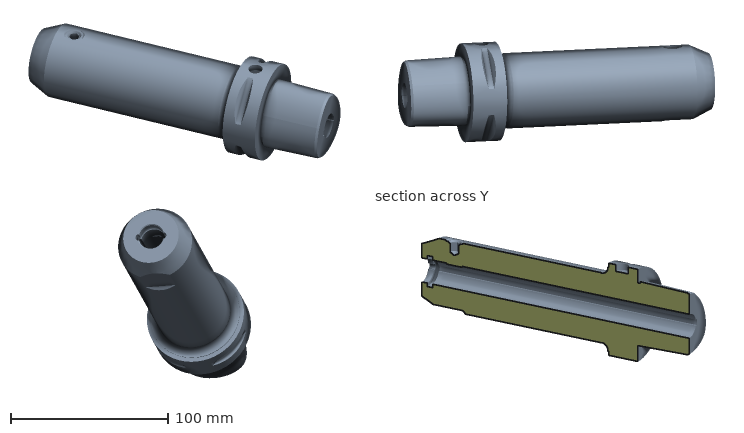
import cadquery as cq
import math


nose_length = 160.0
body_diameter = 48.0
front_face_diameter = 36.0
nose_cone_angle = 25.0
flange_diameter = 63.0
flange_width = 22.0
collar_diameter = 57.6
collar_width = 0.5
neck_diameter = 47.6
neck_step_length = 1.0
fillet_radius = 4.5

flat_height = 22.0
flat_length = 30.5

shank_length = 38.0
polygon_diameter = 44.0
polygon_lobe = 1.4
polygon_straight_length = 2.9
taper_ratio = 20.0
shank_chamfer_length = 1.5
shank_chamfer_depth = 0.8
relief_diameter = 44.6
relief_width = 1.5
lobe_count = 3
lobe_samples = 24

groove_position = -12.0
slot_count = 4
slot_floor_distance = 27.5
slot_floor_width = 3.5
slot_flank_angle = 30.0
marker_hole_diameter = 9.0
marker_hole_depth = 4.5

bore_diameter = 16.0
bore_chamfer = 0.6
coolant_slot_diameter = 18.38
coolant_slot_width = 4.0
entry_slot_span = 20.0
ring_groove_diameter = 20.8
ring_groove_start = 4.5
ring_groove_width = 3.5

screw_distance = 24.2
screw_diameter = 11.84
screw_head_height = 23.3
socket_mouth_diameter = 9.0
screw_tip_height = 7.3
screw_hole_mouth_diameter = 13.2
hex_across_flats = 6.0
hex_sides = 6
hex_depth = 6.0
hex_drill_point_depth = 1.7

nose_x = -nose_length
overall_length = nose_length + shank_length


def x_cylinder(start, length, diameter):
    """Cylinder on the X axis, running from start toward +X."""
    return cq.Workplane("YZ", origin=(start, 0, 0)).circle(diameter / 2).extrude(length)


def make_body():
    """Nose, neck and flange as one revolved profile."""
    body_radius = body_diameter / 2
    front_radius = front_face_diameter / 2
    neck_radius = neck_diameter / 2
    collar_radius = collar_diameter / 2
    flange_radius = flange_diameter / 2
    cone_end = nose_x + (body_radius - front_radius) / math.tan(math.radians(nose_cone_angle))
    flange_start = -flange_width
    collar_start = flange_start - collar_width
    fillet_start = collar_start - fillet_radius
    arc_offset = fillet_radius * math.sqrt(0.5)
    arc_middle = (fillet_start + arc_offset, neck_radius + fillet_radius - arc_offset)
    return (
        cq.Workplane("XY")
        .moveTo(nose_x, 0)
        .lineTo(nose_x, front_radius)
        .lineTo(cone_end, body_radius)
        .lineTo(fillet_start - neck_step_length, body_radius)
        .lineTo(fillet_start, neck_radius)
        .threePointArc(arc_middle, (collar_start, neck_radius + fillet_radius))
        .lineTo(collar_start, collar_radius)
        .lineTo(flange_start, collar_radius)
        .lineTo(flange_start, flange_radius)
        .lineTo(0, flange_radius)
        .lineTo(0, 0)
        .close()
        .revolve(360, (0, 0, 0), (1, 0, 0))
    )


def polygon_wire(x, radius):
    """Constant-width three-lobed outline at position x, with one lobe toward +Z."""
    span = 2 * math.pi / lobe_count

    def point(angle):
        phase = lobe_count * (angle - math.pi / 2)
        support = radius + polygon_lobe * math.cos(phase)
        slope = -lobe_count * polygon_lobe * math.sin(phase)
        y = support * math.cos(angle) - slope * math.sin(angle)
        z = support * math.sin(angle) + slope * math.cos(angle)
        return cq.Vector(x, y, z)

    def tangent(angle):
        return cq.Vector(0, -math.sin(angle), math.cos(angle))

    def lobe(index):
        start = math.pi / 2 + (index - 0.5) * span
        points = [point(start + span * i / lobe_samples) for i in range(lobe_samples + 1)]
        return cq.Edge.makeSpline(points, tangents=[tangent(start), tangent(start + span)])

    return cq.Wire.assembleEdges([lobe(i) for i in range(lobe_count)])


def polygon_section(start, end, start_radius, end_radius):
    """Polygon prism or taper between two X positions."""
    wires = [polygon_wire(start, start_radius), polygon_wire(end, end_radius)]
    return cq.Workplane(obj=cq.Solid.makeLoft(wires, True))


def make_shank():
    """Polygon taper with a turned relief at the flange and a chamfered end."""
    base_radius = polygon_diameter / 2
    taper_end = shank_length - shank_chamfer_length
    end_radius = base_radius - (taper_end - polygon_straight_length) / taper_ratio / 2
    relief = polygon_section(0, relief_width, base_radius, base_radius)
    relief = relief.intersect(x_cylinder(0, relief_width, relief_diameter))
    straight = polygon_section(relief_width, polygon_straight_length, base_radius, base_radius)
    taper = polygon_section(polygon_straight_length, taper_end, base_radius, end_radius)
    tip = polygon_section(taper_end, shank_length, end_radius, end_radius - shank_chamfer_depth)
    return relief.union(straight).union(taper).union(tip)


def make_clearance_flat():
    """Block below the nose flat, with a 45 degree run-out at its rear end."""
    depth = body_diameter / 2 - flat_height
    flat_end = nose_x + flat_length
    return (
        cq.Workplane("XZ")
        .moveTo(nose_x, -flat_height)
        .lineTo(flat_end, -flat_height)
        .lineTo(flat_end + depth, -flat_height - depth)
        .lineTo(nose_x, -flat_height - depth)
        .close()
        .extrude(body_diameter / 2, both=True)
    )


def make_gripper_slot(angle):
    """Straight slot with sloping flanks across the flange rim, turned about X."""
    depth = flange_diameter / 2 - slot_floor_distance
    half_floor = slot_floor_width / 2
    half_mouth = half_floor + depth * math.tan(math.radians(slot_flank_angle))
    slot = (
        cq.Workplane("XZ")
        .moveTo(groove_position - half_floor, slot_floor_distance)
        .lineTo(groove_position + half_floor, slot_floor_distance)
        .lineTo(groove_position + half_mouth, slot_floor_distance + depth)
        .lineTo(groove_position - half_mouth, slot_floor_distance + depth)
        .close()
        .extrude(flange_diameter / 2, both=True)
    )
    return slot.rotate((0, 0, 0), (1, 0, 0), angle)


def make_marker_hole():
    """Blind hole in the top of the flange."""
    floor = flange_diameter / 2 - marker_hole_depth
    return (
        cq.Workplane("XY", origin=(groove_position, 0, floor))
        .circle(marker_hole_diameter / 2)
        .extrude(marker_hole_depth)
    )


def make_bore():
    """Through bore with an entry chamfer, a ring groove and two coolant slots, deeper at the entry."""
    bore = x_cylinder(nose_x, overall_length, bore_diameter)
    entry = cq.Workplane(obj=cq.Solid.makeCone(
        bore_diameter / 2 + bore_chamfer, bore_diameter / 2, bore_chamfer,
        pnt=cq.Vector(nose_x, 0, 0), dir=cq.Vector(1, 0, 0)))
    groove = x_cylinder(nose_x + ring_groove_start, ring_groove_width, ring_groove_diameter)
    slots = (
        cq.Workplane("YZ", origin=(nose_x, 0, 0))
        .rect(coolant_slot_diameter, coolant_slot_width)
        .extrude(overall_length)
        .intersect(x_cylinder(nose_x, overall_length, coolant_slot_diameter))
    )
    entry_slots = (
        cq.Workplane("YZ", origin=(nose_x, 0, 0))
        .slot2D(entry_slot_span, coolant_slot_width)
        .extrude(ring_groove_start)
    )
    return bore.union(entry).union(groove).union(slots).union(entry_slots)


def make_screw_tip():
    """Part of the clamping screw that reaches into the bore."""
    return (
        cq.Workplane("XY", origin=(nose_x + screw_distance, 0, screw_tip_height))
        .circle(screw_diameter / 2)
        .extrude(bore_diameter / 2)
    )


def make_screw_recess():
    """Countersunk mouth of the screw hole and the screw's countersunk hex socket."""
    screw_x = nose_x + screw_distance
    top = body_diameter / 2
    screw_radius = screw_diameter / 2
    mouth_radius = screw_hole_mouth_diameter / 2
    hex_corner_diameter = hex_across_flats / math.cos(math.pi / hex_sides)
    hex_start = screw_head_height - (socket_mouth_diameter - hex_corner_diameter) / 2
    recess = (
        cq.Workplane("XZ", origin=(screw_x, 0, 0))
        .moveTo(0, hex_start)
        .lineTo(hex_corner_diameter / 2, hex_start)
        .lineTo(socket_mouth_diameter / 2, screw_head_height)
        .lineTo(screw_radius, screw_head_height)
        .lineTo(screw_radius, top - (mouth_radius - screw_radius))
        .lineTo(mouth_radius, top)
        .lineTo(0, top)
        .close()
        .revolve(360, (0, 0, 0), (0, 1, 0))
    )
    socket_floor = hex_start - hex_depth
    socket = (
        cq.Workplane("XY", origin=(screw_x, 0, socket_floor))
        .transformed(rotate=(0, 0, 90))
        .polygon(hex_sides, hex_corner_diameter)
        .extrude(hex_depth)
    )
    drill_point = cq.Workplane(obj=cq.Solid.makeCone(
        hex_across_flats / 2, 0, hex_drill_point_depth,
        pnt=cq.Vector(screw_x, 0, socket_floor), dir=cq.Vector(0, 0, -1)))
    return recess.union(socket).union(drill_point)


holder = make_body().union(make_shank())
holder = holder.cut(make_clearance_flat())
for slot_index in range(slot_count):
    slot_angle = (slot_index + 0.5) * 360 / slot_count
    holder = holder.cut(make_gripper_slot(slot_angle))
holder = holder.cut(make_marker_hole())
holder = holder.cut(make_bore())
holder = holder.union(make_screw_tip())
holder = holder.cut(make_screw_recess())
result = holder